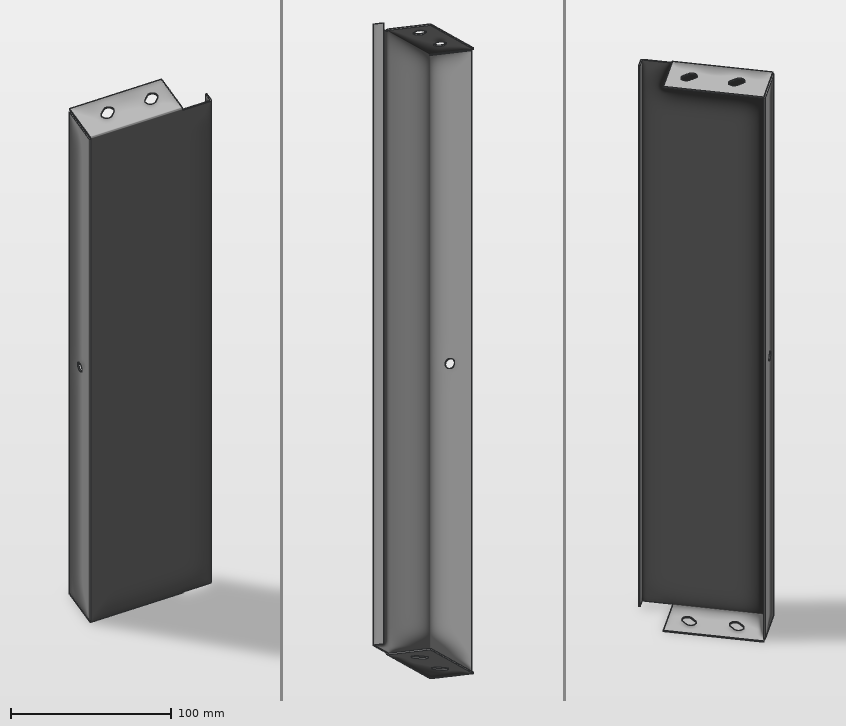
import cadquery as cq

width = 30.7
depth = 85.0
height = 404.0

thickness = 1.0
bend_radius = 1.5
inner_radius = bend_radius - thickness

front_setback = 1.2
lip_width = 7.5
end_flange_rear = 64.5
end_flange_front = 1.0
channel_end_gap = 1.5

clearance = 4.0

slot_width = 7.0
slot_length = 11.0
slot_x = 13.7
slot_ys = (20.5, 51.0)
slot_angle = 45
front_hole_diameter = 6.5
front_hole_x = 16.0


def box(x0, x1, y0, y1, z0, z1):
    """Box given by its limits along each axis."""
    return cq.Workplane("XY").box(x1 - x0, y1 - y0, z1 - z0, centered=False).translate((x0, y0, z0))


def make_channel():
    """Tall wall with the front flange and the rear lip bent from it."""
    outer = box(0, width, 0, depth, channel_end_gap, height - channel_end_gap)
    outer = outer.edges("|Z and >X").fillet(bend_radius)
    inner = box(-clearance, width - thickness, thickness, depth - thickness, 0, height)
    inner = inner.edges("|Z and >X").fillet(inner_radius)
    front_trim = box(-clearance, front_setback, -clearance, depth / 2, 0, height)
    lip_trim = box(-clearance, width - lip_width, depth / 2, depth + clearance, 0, height)
    return outer.cut(inner).cut(front_trim).cut(lip_trim)


def make_end_flanges():
    """Top and bottom flanges, joined to the wall by rounded bends."""
    outer = box(0, width, end_flange_front, end_flange_rear, 0, height)
    outer = outer.edges("|Y and >X").fillet(bend_radius)
    inner = box(-clearance, width - thickness, -clearance, depth, thickness, height - thickness)
    inner = inner.edges("|Y and >X").fillet(inner_radius)
    return outer.cut(inner)


def make_slots(z, angle):
    """Pair of slanted slots through the end flange at height z."""
    slots = cq.Workplane("XY", origin=(0, 0, z)).pushPoints([(slot_x, y) for y in slot_ys])
    return slots.slot2D(slot_length, slot_width, angle).extrude(thickness)


def make_front_hole():
    """Hole through the front flange at mid height."""
    hole = cq.Workplane("XZ", origin=(front_hole_x, 0, height / 2))
    return hole.circle(front_hole_diameter / 2).extrude(-bend_radius)


result = make_channel().union(make_end_flanges())
result = result.cut(make_slots(height - thickness, -slot_angle))
result = result.cut(make_slots(0, slot_angle))
result = result.cut(make_front_hole())